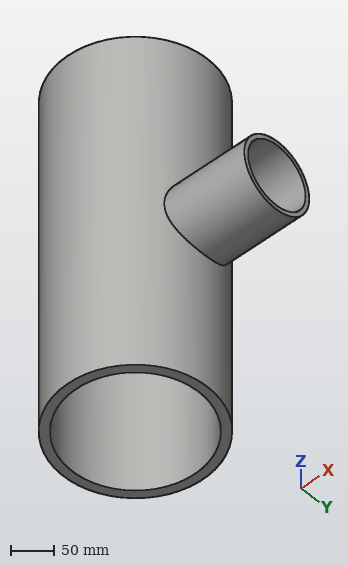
import cadquery as cq

main_length = 527.0
main_diameter = 225.0
main_wall = 13.0

overall_width = 338.5
branch_diameter = 110.0
branch_wall = main_wall * branch_diameter / main_diameter
branch_height = main_length / 2
branch_reach = overall_width - main_diameter / 2


def main_cylinder(diameter):
    """Full-length vertical cylinder on the main axis."""
    return cq.Workplane("XY").circle(diameter / 2).extrude(main_length)


def branch_cylinder(diameter):
    """Horizontal cylinder from the main axis to the branch end."""
    return (
        cq.Workplane("YZ")
        .center(0, branch_height)
        .circle(diameter / 2)
        .extrude(branch_reach)
    )


outer_body = main_cylinder(main_diameter).union(branch_cylinder(branch_diameter))
main_bore = main_cylinder(main_diameter - 2 * main_wall)
branch_bore = branch_cylinder(branch_diameter - 2 * branch_wall)

result = outer_body.cut(main_bore).cut(branch_bore)